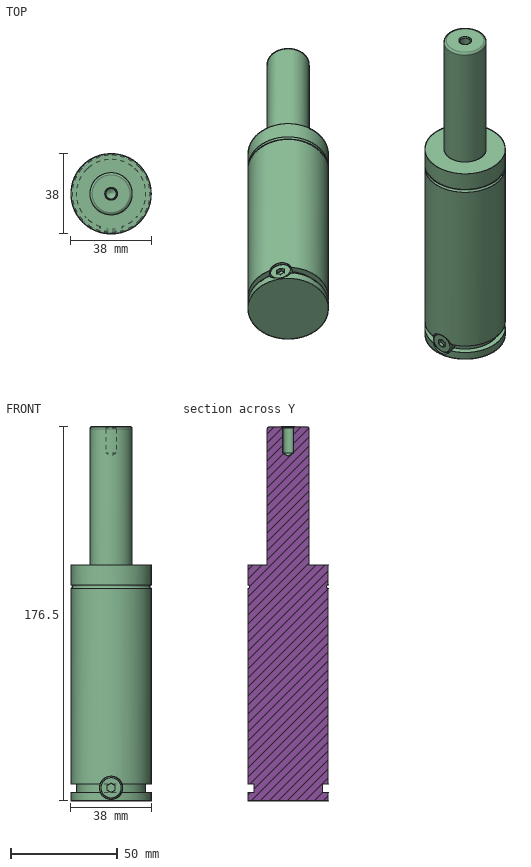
import cadquery as cq
import math

total_height = 176.5
body_diameter = 38.0
body_height = 111.4
rod_diameter = 20.0

rod_edge_radius = 1.0
rod_hole_diameter = 5.0
rod_hole_depth = 12.4
rod_hole_chamfer = 0.5
drill_point_angle = 118.0

base_flange_height = 4.0
base_groove_width = 3.9
base_groove_depth = 2.6
cap_height = 9.5
cap_groove_width = 1.6
cap_groove_depth = 0.7

plug_diameter = 11.0
plug_chamfer = 0.7
plug_center_height = 6.2
plug_face_distance = 18.4
plug_back_distance = 13.2
socket_corner_diameter = 4.5
socket_depth = 1.8

body_radius = body_diameter / 2
rod_radius = rod_diameter / 2


def make_body():
    """Round body with a square base groove and a round groove under the cap."""
    base_groove_radius = body_radius - base_groove_depth
    base_groove_top = base_flange_height + base_groove_width
    cap_bottom = body_height - cap_height
    half_width = cap_groove_width / 2
    return (
        cq.Workplane("XZ")
        .lineTo(body_radius, 0)
        .lineTo(body_radius, base_flange_height)
        .lineTo(base_groove_radius, base_flange_height)
        .lineTo(base_groove_radius, base_groove_top)
        .lineTo(body_radius, base_groove_top)
        .lineTo(body_radius, cap_bottom - cap_groove_width)
        .threePointArc(
            (body_radius - cap_groove_depth, cap_bottom - half_width),
            (body_radius, cap_bottom),
        )
        .lineTo(body_radius, body_height)
        .lineTo(0, body_height)
        .close()
        .revolve(360, (0, 0), (0, 1))
    )


def make_rod():
    """Piston rod with a rounded end."""
    return (
        cq.Workplane("XY")
        .workplane(offset=body_height)
        .circle(rod_radius)
        .extrude(total_height - body_height)
        .faces(">Z")
        .fillet(rod_edge_radius)
    )


def make_rod_hole():
    """Blind hole with a chamfered mouth and a conical drill point."""
    hole_radius = rod_hole_diameter / 2
    hole_bottom = total_height - rod_hole_depth
    point_height = hole_radius / math.tan(math.radians(drill_point_angle / 2))
    return (
        cq.Workplane("XZ")
        .moveTo(0, total_height)
        .lineTo(hole_radius + rod_hole_chamfer, total_height)
        .lineTo(hole_radius, total_height - rod_hole_chamfer)
        .lineTo(hole_radius, hole_bottom)
        .lineTo(0, hole_bottom - point_height)
        .close()
        .revolve(360, (0, 0), (0, 1))
    )


def plug_plane(distance):
    """Plane facing -Y, centred on the plug axis at a distance from the body axis."""
    return cq.Workplane("XZ", origin=(0, -distance, plug_center_height))


def add_plug(part):
    """Recess the body around the plug, then add the plug with its hexagon socket."""
    recess_depth = body_radius - plug_back_distance
    plug_length = plug_face_distance - plug_back_distance
    recess = plug_plane(plug_back_distance).circle(plug_diameter / 2).extrude(recess_depth)
    plug = (
        plug_plane(plug_back_distance)
        .circle(plug_diameter / 2)
        .extrude(plug_length)
        .faces("<Y")
        .chamfer(plug_chamfer)
    )
    socket = (
        plug_plane(plug_face_distance - socket_depth)
        .transformed(rotate=(0, 0, 90))
        .polygon(6, socket_corner_diameter)
        .extrude(socket_depth)
    )
    return part.cut(recess).union(plug).cut(socket)


result = add_plug(make_body().union(make_rod()).cut(make_rod_hole()))